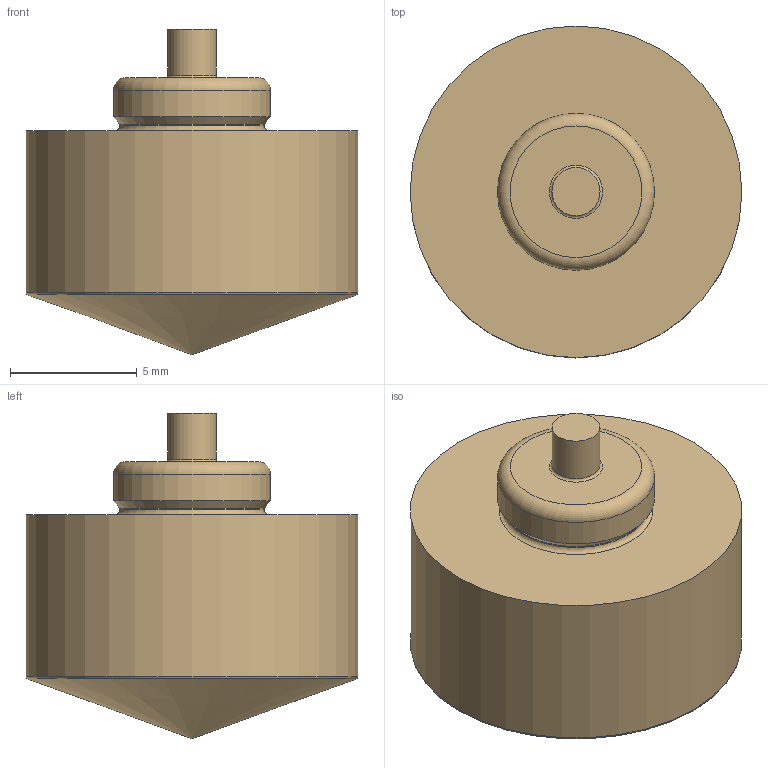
import cadquery as cq
import math

housing_radius = 13.1 / 2
housing_top = 8.85
cone_slope = 20.0
rim_fillet = 0.1
boss_radius = 2.85
boss_height = 0.25
boss_foot_fillet = 0.2

head_radius = 6.2 / 2
head_chamfer_height = 0.3
head_top = 10.94
head_fillet = 0.5
pin_radius = 1.9 / 2
pin_top = 12.85
pin_foot_fillet = 0.1

boss_top = housing_top + boss_height


def revolve_about_z(profile):
    """Turn a closed half profile in the XZ plane into a solid about Z."""
    return profile.revolve(360, (0, 0, 0), (0, 1, 0))


def make_housing():
    """Drum and boss above a cone whose tip is at the origin."""
    slope = math.radians(cone_slope)
    cone_height = housing_radius * math.tan(slope)
    tangent_length = rim_fillet * math.tan((math.pi / 2 - slope) / 2)
    fillet_start = (
        housing_radius - tangent_length * math.cos(slope),
        cone_height - tangent_length * math.sin(slope),
    )
    fillet_end = (housing_radius, cone_height + tangent_length)
    profile = (
        cq.Workplane("XZ")
        .moveTo(0, 0)
        .lineTo(*fillet_start)
        .radiusArc(fillet_end, -rim_fillet)
        .lineTo(housing_radius, housing_top)
        .lineTo(boss_radius + boss_foot_fillet, housing_top)
        .radiusArc((boss_radius, housing_top + boss_foot_fillet), boss_foot_fillet)
        .lineTo(boss_radius, boss_top)
        .lineTo(0, boss_top)
        .close()
    )
    return revolve_about_z(profile)


def make_cap():
    """Head with a bevelled underside and a rounded top edge, and its pin."""
    profile = (
        cq.Workplane("XZ")
        .moveTo(0, boss_top)
        .lineTo(boss_radius, boss_top)
        .lineTo(head_radius, boss_top + head_chamfer_height)
        .lineTo(head_radius, head_top - head_fillet)
        .radiusArc((head_radius - head_fillet, head_top), -head_fillet)
        .lineTo(pin_radius + pin_foot_fillet, head_top)
        .radiusArc((pin_radius, head_top + pin_foot_fillet), pin_foot_fillet)
        .lineTo(pin_radius, pin_top)
        .lineTo(0, pin_top)
        .close()
    )
    return revolve_about_z(profile)


housing = make_housing()
cap = make_cap()

result = cq.Compound.makeCompound([housing.val(), cap.val()])